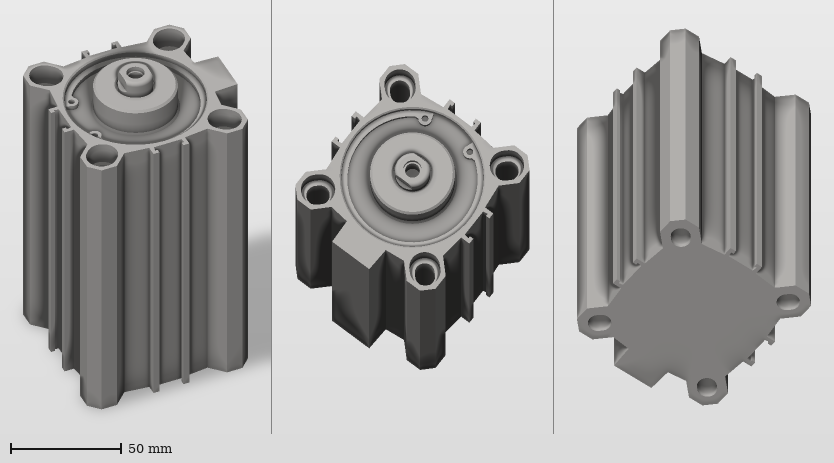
import cadquery as cq
import math

housing_height = 142.2
collar_top = 150.2
rod_top = 157.0

half_width = 40.0
lug_corner_chamfer = 5.0
lug_inner_corner = 27.4
lug_foot_run = 6.7
lug_foot = (half_width - lug_foot_run, lug_inner_corner - lug_foot_run)
side_half_width = 35.1
rib_root_half_width = 34.6

rib_outer_offset = 8.9
rib_tip_offset = 6.0
rib_root_offset = 6.8
rib_neck_offset = 7.2
rib_reach = 39.3
rib_lip = 1.9

port_block_reach = 46.0
port_block_root_half = 11.1
port_block_tip_half = 10.6

bolt_offset = 30.5
bolt_slot_travel = 1.6
bolt_hole_diameter = 9.0
bolt_counterbore_diameter = 14.0
bolt_counterbore_depth = 10.5

bore_diameter = 64.7
bore_lip_chamfer = 0.65
attachment_radius = bore_diameter / 2 + 1.0
head_face_depth = 5.6
head_thickness = 15.0
head_top = housing_height - head_face_depth
head_bottom = head_top - head_thickness
collar_diameter = 38.5
collar_top_chamfer = 1.0
collar_base_chamfer = 1.0
ring_thickness = 2.3
ring_top = head_top + ring_thickness
ring_outer_diameter = 68.2
ring_inner_diameter = 59.0

ear_x = 12.8
ear_y = -26.0
ear_radius = 3.05
ear_hole_diameter = 3.0
ear_web_y = -24.1

rod_diameter = 16.0
rod_edge_radius = 1.75
wiper_recess_diameter = 17.7
wiper_recess_depth = 1.5
wiper_recess_chamfer = 0.7
rod_clearance_diameter = 16.54
rod_clearance_depth = 3.0
flats_width = 13.0
flats_base_lift = 1.3
flats_base = collar_top + flats_base_lift
thread_diameter = 6.65
thread_relief_diameter = 8.25
thread_relief_depth = 2.5
thread_depth = 12.0
drill_point_angle = 160.0


def cylinder(diameter, bottom, top):
    return cq.Workplane("XY").workplane(offset=bottom).circle(diameter / 2).extrude(top - bottom)


def housing_core():
    """Square body with an octagonal lug on each corner."""
    chamfer_start = half_width - lug_corner_chamfer
    corner = [
        (side_half_width, rib_root_offset),
        (rib_root_half_width, rib_outer_offset),
        lug_foot,
        (half_width, lug_inner_corner),
        (half_width, chamfer_start),
        (chamfer_start, half_width),
        (lug_inner_corner, half_width),
        (lug_foot[1], lug_foot[0]),
        (rib_outer_offset, rib_root_half_width),
        (rib_root_offset, side_half_width),
    ]
    outline = []
    for turn in range(4):
        angle = math.radians(90 * turn)
        for x, y in corner:
            outline.append((
                x * math.cos(angle) - y * math.sin(angle),
                x * math.sin(angle) + y * math.cos(angle),
            ))
    return cq.Workplane("XY").polyline(outline).close().extrude(housing_height)


def rail_rib_pair():
    """Two facing hooked ribs on the +X side."""
    lip_start = rib_reach - rib_lip
    profile = [
        (attachment_radius, rib_outer_offset),
        (rib_reach, rib_outer_offset),
        (rib_reach, rib_tip_offset),
        (lip_start, rib_tip_offset),
        (lip_start, rib_neck_offset),
        (side_half_width, rib_root_offset),
        (attachment_radius, rib_root_offset),
    ]
    rib = cq.Workplane("XY").polyline(profile).close().extrude(housing_height)
    return rib.union(rib.mirror("XZ"))


def port_block():
    """Slightly tapered block along the whole +Y side."""
    profile = [
        (-port_block_root_half, rib_root_half_width),
        (-port_block_tip_half, port_block_reach),
        (port_block_tip_half, port_block_reach),
        (port_block_root_half, rib_root_half_width),
        (port_block_root_half, attachment_radius),
        (-port_block_root_half, attachment_radius),
    ]
    return cq.Workplane("XY").polyline(profile).close().extrude(housing_height)


def bolt_hole(angle):
    """Counterbored hole, slotted along the diagonal of its lug."""
    hole = (
        cq.Workplane("XY")
        .slot2D(bolt_hole_diameter + bolt_slot_travel, bolt_hole_diameter)
        .extrude(housing_height)
    )
    counterbore = (
        cq.Workplane("XY")
        .workplane(offset=housing_height - bolt_counterbore_depth)
        .slot2D(bolt_counterbore_diameter + bolt_slot_travel, bolt_counterbore_diameter)
        .extrude(bolt_counterbore_depth)
    )
    radius = bolt_offset * math.sqrt(2)
    return hole.union(counterbore).translate((radius, 0, 0)).rotate((0, 0, 0), (0, 0, 1), angle)


def bore_lip():
    """Cone that chamfers the mouth of the bore."""
    bore_radius = bore_diameter / 2
    profile = [
        (0, housing_height - bore_lip_chamfer),
        (bore_radius, housing_height - bore_lip_chamfer),
        (bore_radius + bore_lip_chamfer, housing_height),
        (0, housing_height),
    ]
    return cq.Workplane("XZ").polyline(profile).close().revolve(360, (0, 0, 0), (0, 1, 0))


def make_housing():
    body = housing_core().union(port_block())
    for angle in (0, 180, 270):
        body = body.union(rail_rib_pair().rotate((0, 0, 0), (0, 0, 1), angle))
    for angle in (45, 135, 225, 315):
        body = body.cut(bolt_hole(angle))
    bore = cylinder(bore_diameter, head_bottom, housing_height)
    ring_groove = cylinder(ring_outer_diameter, head_top, ring_top)
    return body.cut(bore).cut(bore_lip()).cut(ring_groove)


def make_head():
    """Disc closing the bore, with the rod collar standing on it."""
    bore_radius = bore_diameter / 2
    collar_radius = collar_diameter / 2
    rod_radius = rod_diameter / 2
    recess_radius = wiper_recess_diameter / 2
    recess_floor = collar_top - wiper_recess_depth
    clearance_radius = rod_clearance_diameter / 2
    clearance_floor = collar_top - rod_clearance_depth
    profile = [
        (rod_radius, head_bottom),
        (bore_radius, head_bottom),
        (bore_radius, head_top),
        (collar_radius + collar_base_chamfer, head_top),
        (collar_radius, head_top + collar_base_chamfer),
        (collar_radius, collar_top - collar_top_chamfer),
        (collar_radius - collar_top_chamfer, collar_top),
        (recess_radius + wiper_recess_chamfer, collar_top),
        (recess_radius, collar_top - wiper_recess_chamfer),
        (recess_radius, recess_floor),
        (clearance_radius, recess_floor),
        (clearance_radius, clearance_floor),
        (rod_radius, clearance_floor),
    ]
    return cq.Workplane("XZ").polyline(profile).close().revolve(360, (0, 0, 0), (0, 1, 0))


def make_retaining_ring():
    """Open ring in the bore groove, with a pierced ear at each end."""
    inner_radius = ring_inner_diameter / 2
    ear_distance = math.hypot(ear_x, ear_y)
    end_angle = math.atan2(ear_x, -ear_y) - math.asin(ear_radius / ear_distance)
    reach = ring_outer_diameter
    gap_x = reach * math.tan(end_angle)
    gap = (
        cq.Workplane("XY").workplane(offset=head_top)
        .polyline([(0, 0), (-gap_x, -reach), (gap_x, -reach)]).close()
        .extrude(ring_thickness)
    )
    web_x = math.sqrt(inner_radius**2 - ear_web_y**2)
    disc = cylinder(ring_outer_diameter, head_top, ring_top)
    ring = disc.cut(cylinder(ring_inner_diameter, head_top, ring_top))
    for side in (-1, 1):
        web = (
            cq.Workplane("XY").workplane(offset=head_top)
            .polyline([
                (side * ear_x, ear_web_y),
                (side * web_x, ear_web_y),
                (side * web_x, -reach),
                (side * ear_x, -reach),
            ]).close()
            .extrude(ring_thickness)
        )
        ear = cylinder(2 * ear_radius, head_top, ring_top).translate((side * ear_x, ear_y, 0))
        ring = ring.union(web.intersect(disc)).union(ear)
    ring = ring.cut(gap)
    for side in (-1, 1):
        ring = ring.cut(cylinder(ear_hole_diameter, head_top, ring_top).translate((side * ear_x, ear_y, 0)))
    return ring


def make_rod():
    """Piston rod with two wrench flats and a blind end hole."""
    rod = cylinder(rod_diameter, head_bottom, rod_top).faces(">Z").edges().fillet(rod_edge_radius)
    flat_offset = flats_width / 2
    run_out = (rod_diameter - flats_width) / 2
    for side in (-1, 1):
        flat = (
            cq.Workplane("YZ")
            .polyline([
                (side * flat_offset, rod_top),
                (side * flat_offset, flats_base),
                (side * (flat_offset + run_out), flats_base - run_out),
                (side * (flat_offset + run_out), rod_top),
            ]).close()
            .extrude(rod_diameter / 2, both=True)
        )
        rod = rod.cut(flat)
    return rod.cut(thread_hole())


def thread_hole():
    """Blind hole with a wider relief at the mouth and a drill point."""
    hole_radius = thread_diameter / 2
    relief_radius = thread_relief_diameter / 2
    relief_floor = rod_top - thread_relief_depth
    floor = rod_top - thread_depth
    point_height = hole_radius / math.tan(math.radians(drill_point_angle / 2))
    profile = [
        (0, floor - point_height),
        (hole_radius, floor),
        (hole_radius, relief_floor),
        (relief_radius, relief_floor),
        (relief_radius, rod_top),
        (0, rod_top),
    ]
    return cq.Workplane("XZ").polyline(profile).close().revolve(360, (0, 0, 0), (0, 1, 0))


housing = make_housing()
head = make_head()
retaining_ring = make_retaining_ring()
rod = make_rod()

result = cq.Compound.makeCompound([housing.val(), head.val(), retaining_ring.val(), rod.val()])